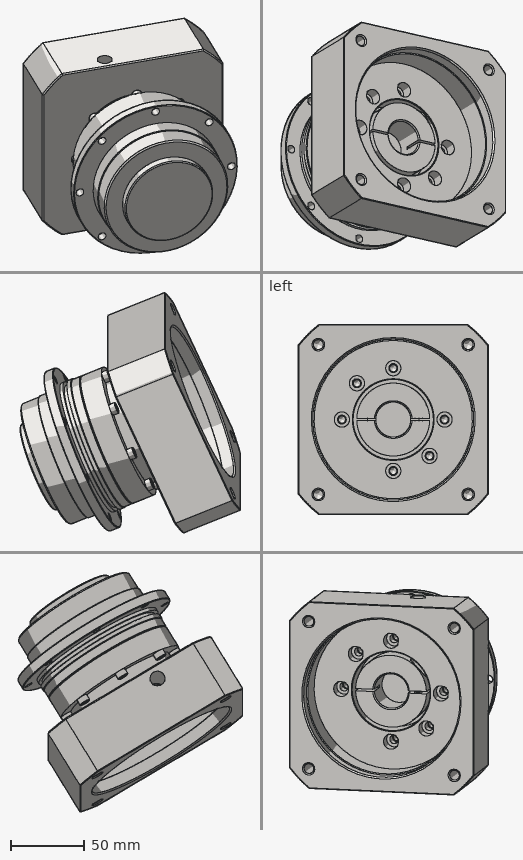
import cadquery as cq
import math


plate_rear = 43.3
boss_end = 44.5
shoulder = 55.2
joint = 71.2
overall_length = 123.0

plate_width = 130
plate_corner_radius = 82.5
plate_front_chamfer = 0.5
plate_rear_chamfer = 0.9
neck_radius = 39.0

pilot_radius = 55.0
pilot_chamfer = 1.0
pilot_depth = 9.1
pocket_radius = 54.1
pocket_floor = 27.4

hub_opening_radius = 27.4
hub_opening_chamfer = 0.5

motor_hole_offset = 51.2
motor_hole_radius = 3.4
motor_hole_chamfer = 0.9
motor_hole_depth = 23.4

joint_circle_radius = 35.1
joint_hole_angles = (0, 45, 90, 180, 225, 270)
joint_counterbore_radius = 5.2
joint_counterbore_floor = 36.4
joint_clearance_radius = 3.0
joint_tap_radius = 2.5
joint_tap_depth = 10.4
drill_tip_angle = 118

hub_front = 27.5
hub_radius = 25.0
hub_bore_radius = 12.0
hub_bore_chamfer = 0.9
hub_rear = 43.3
journal_radius = 17.7
journal_length = 10.4
hub_bore_end = 50.7
hub_slit = 1.5

clamp_x = 34.3
clamp_y = -17.4
clamp_access_radius = 5.1
clamp_seat_z = 7.8
clamp_hole_radius = 2.6
clamp_hole_chamfer = 0.9

housing_radius = 47.0
edge_chamfer = 0.5
screw_circle_radius = 43.0
screw_count = 8
screw_head_radius = 3.9
screw_head_height = 4.4
screw_head_chamfer = 0.4

ring_start = 77.5
ring_radius = 47.6
groove_start = 80.9
groove_end = 83.7
groove_radius = 45.0
screw_tip_end = 81.4
screw_tip_radius = 2.2
flange_front = 86.0
flange_rear = 93.2
flange_radius = 58.9
collar_end = 103.6
collar_radius = 45.0
spigot_end = 117.0
spigot_radius = 44.5
spigot_chamfer = 1.0
output_radius = 31.6
output_chamfer = 0.8
flange_hole_count = 8
flange_hole_circle = 54.5
flange_hole_radius = 2.7


def turned(profile):
    """Revolve a closed (x, radius) outline around the X axis."""
    return cq.Workplane("XZ").polyline(profile).close().revolve(360, (0, 0, 0), (1, 0, 0))


def rod(x_start, x_end, radius, y=0, z=0):
    """Cylinder parallel to X."""
    return cq.Workplane("YZ", origin=(x_start, y, z)).circle(radius).extrude(x_end - x_start)


def on_circle(radius, angles):
    """(y, z) places on a circle around the X axis, angles in degrees from +Y."""
    return [
        (radius * math.cos(math.radians(a)), radius * math.sin(math.radians(a))) for a in angles
    ]


def evenly_spaced(count):
    return [i * 360 / count for i in range(count)]


def drilled_hole(x_start, depth, radius, chamfer, y, z):
    """Cutter for a blind hole along +X, chamfered mouth, conical tip; chamfer 0 leaves it sharp."""
    tip = radius / math.tan(math.radians(drill_tip_angle / 2))
    mouth = [(x_start, radius)]
    if chamfer > 0:
        mouth = [(x_start, radius + chamfer), (x_start + chamfer, radius)]
    profile = [
        (x_start, 0),
        *mouth,
        (x_start + depth, radius),
        (x_start + depth + tip, 0),
    ]
    return turned(profile).translate((0, y, z))


joint_holes = on_circle(joint_circle_radius, joint_hole_angles)
screw_places = on_circle(screw_circle_radius, evenly_spaced(screw_count))


def make_adapter_plate():
    block = cq.Workplane("YZ").rect(plate_width, plate_width).extrude(plate_rear)
    plate = block.intersect(rod(0, plate_rear, plate_corner_radius))
    plate = plate.faces("<X").chamfer(plate_front_chamfer)
    plate = plate.faces(">X").chamfer(plate_rear_chamfer)
    plate = plate.union(rod(plate_rear, boss_end, neck_radius))
    plate = plate.cut(turned([
        (0, 0),
        (0, pilot_radius + pilot_chamfer),
        (pilot_chamfer, pilot_radius),
        (pilot_depth, pilot_radius),
        (pilot_depth, pocket_radius),
        (pocket_floor, pocket_radius),
        (pocket_floor, hub_opening_radius + hub_opening_chamfer),
        (pocket_floor + hub_opening_chamfer, hub_opening_radius),
        (boss_end, hub_opening_radius),
        (boss_end, 0),
    ]))
    for y in (-motor_hole_offset, motor_hole_offset):
        for z in (-motor_hole_offset, motor_hole_offset):
            plate = plate.cut(
                drilled_hole(0, motor_hole_depth, motor_hole_radius, motor_hole_chamfer, y, z)
            )
    for y, z in joint_holes:
        plate = plate.cut(rod(pocket_floor, joint_counterbore_floor, joint_counterbore_radius, y, z))
        plate = plate.cut(rod(joint_counterbore_floor, boss_end, joint_clearance_radius, y, z))
    access = cq.Workplane("XY", origin=(clamp_x, clamp_y, 0)).circle(clamp_access_radius)
    return plate.cut(access.extrude(plate_width / 2))


def make_clamp_hub():
    hub = turned([
        (hub_front, hub_bore_radius + hub_bore_chamfer),
        (hub_front, hub_radius),
        (hub_rear, hub_radius),
        (hub_rear, journal_radius),
        (hub_rear + journal_length, journal_radius),
        (hub_rear + journal_length, 0),
        (hub_bore_end, 0),
        (hub_bore_end, hub_bore_radius),
        (hub_front + hub_bore_chamfer, hub_bore_radius),
    ])
    collar_length = hub_rear - hub_front
    hub = hub.cut(
        cq.Workplane("XY")
        .box(collar_length, 2 * hub_radius, hub_slit, centered=(False, True, True))
        .translate((hub_front, 0, 0))
    )
    seat = cq.Workplane("XY", origin=(clamp_x, clamp_y, clamp_seat_z))
    hub = hub.cut(seat.circle(clamp_access_radius).extrude(hub_radius))
    hub = hub.cut(seat.circle(clamp_hole_radius).extrude(-2 * hub_radius))
    mouth = seat.circle(clamp_hole_radius + clamp_hole_chamfer)
    return hub.cut(mouth.extrude(-clamp_hole_chamfer, taper=45))


def make_input_housing():
    housing = turned([
        (boss_end, 0),
        (boss_end, neck_radius - edge_chamfer),
        (boss_end + edge_chamfer, neck_radius),
        (shoulder, neck_radius),
        (shoulder, housing_radius),
        (joint - edge_chamfer, housing_radius),
        (joint, housing_radius - edge_chamfer),
        (joint, 0),
    ])
    for y, z in screw_places:
        head = rod(shoulder - screw_head_height, shoulder, screw_head_radius, y, z)
        housing = housing.union(head.faces("<X").chamfer(screw_head_chamfer))
    housing = housing.cut(rod(boss_end, hub_rear + journal_length, journal_radius))
    for y, z in joint_holes:
        housing = housing.cut(drilled_hole(boss_end, joint_tap_depth, joint_tap_radius, 0, y, z))
    return housing


def make_gear_housing():
    body = turned([
        (joint, 0),
        (joint, housing_radius - edge_chamfer),
        (joint + edge_chamfer, housing_radius),
        (ring_start, housing_radius),
        (ring_start + edge_chamfer, ring_radius),
        (groove_start, ring_radius),
        (groove_start, groove_radius),
        (groove_end, groove_radius),
        (groove_end, ring_radius),
        (flange_front, ring_radius),
        (flange_front, flange_radius - edge_chamfer),
        (flange_front + edge_chamfer, flange_radius),
        (flange_rear - edge_chamfer, flange_radius),
        (flange_rear, flange_radius - edge_chamfer),
        (flange_rear, collar_radius),
        (collar_end - edge_chamfer, collar_radius),
        (collar_end, spigot_radius),
        (spigot_end - spigot_chamfer, spigot_radius),
        (spigot_end, spigot_radius - spigot_chamfer),
        (spigot_end, output_radius),
        (overall_length - output_chamfer, output_radius),
        (overall_length, output_radius - output_chamfer),
        (overall_length, 0),
    ])
    for y, z in screw_places:
        body = body.union(rod(ring_start, screw_tip_end, screw_tip_radius, y, z))
    for y, z in on_circle(flange_hole_circle, evenly_spaced(flange_hole_count)):
        body = body.cut(rod(flange_front, flange_rear, flange_hole_radius, y, z))
    return body


adapter_plate = make_adapter_plate()
clamp_hub = make_clamp_hub()
input_housing = make_input_housing()
gear_housing = make_gear_housing()

result = cq.Compound.makeCompound([
    adapter_plate.val(),
    clamp_hub.val(),
    input_housing.val(),
    gear_housing.val(),
])